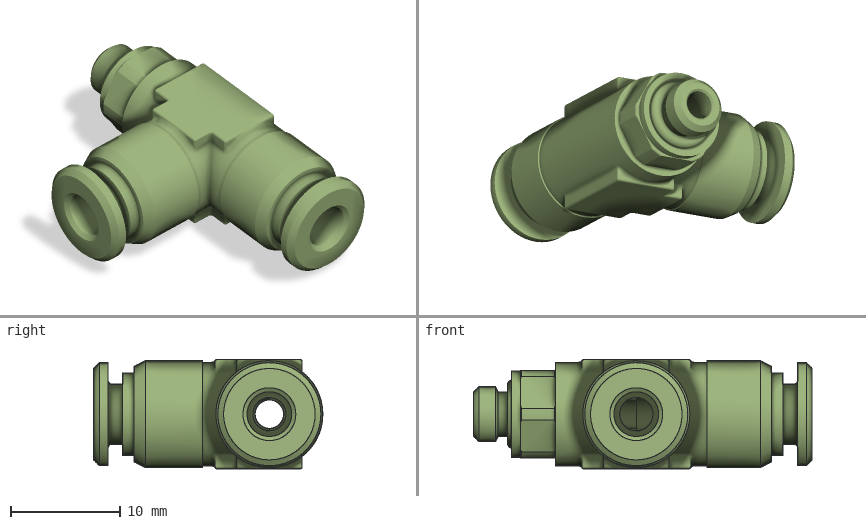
import cadquery as cq
import math

TOTAL_LENGTH = 31.0
PORT_REACH = 16.1
CENTER_X = TOTAL_LENGTH - PORT_REACH

BARREL_START = 7.5
BARREL_RADIUS = 4.75
COLLAR_RADIUS = 4.9
RUN_COLLAR_START = 6.48
BRANCH_COLLAR_START = 6.1
COLLAR_TAPER_START = 11.35
COLLAR_END = 12.37
COLLAR_END_RADIUS = 4.37
CROTCH_FILLET = 0.2

SLEEVE_RING_RADIUS = 3.78
SLEEVE_RING_END = 13.42
SLEEVE_NECK_RADIUS = 2.75
SLEEVE_FILLET = 0.3
SLEEVE_FLANGE_START = 14.75
SLEEVE_FLANGE_RADIUS = 4.7
SLEEVE_CHAMFER = 0.53

TUBE_RADIUS = 2.05
TUBE_CHAMFER = 0.37
TUBE_STOP = BRANCH_COLLAR_START
PASSAGE_RADIUS = 1.52
STEM_BORE_RADIUS = 1.3
STEM_BORE_CHAMFER = 0.2

THREAD_RADIUS = 2.5
THREAD_CHAMFER = 0.5
THREAD_END = 2.0
NECK_START = 2.25
NECK_RADIUS = 2.05
FLANGE_START = 3.47
FLANGE_RADIUS = 3.97
HEX_START = 4.3
HEX_FLATS = 8.0
HEX_CORNER_RADIUS = 4.35
HEX_EDGE_CHAMFER = 0.1

SEAL_SECTION_RADIUS = 0.55
SEAL_START = 3.1
SEAL_CENTER_X = SEAL_START + SEAL_SECTION_RADIUS
SEAL_MEAN_RADIUS = NECK_RADIUS + SEAL_SECTION_RADIUS
GLAND_RADIUS = SEAL_MEAN_RADIUS + SEAL_SECTION_RADIUS
GLAND_END = SEAL_CENTER_X + SEAL_SECTION_RADIUS
GLAND_CHAMFER = 0.28

PAD_HEIGHT = 10.0
PAD_REACH = 5.0
PAD_HALF_WIDTH = 3.0
PAD_ROUND = 0.22
PAD_BASE_FILLET = 0.37
PAD_BASE_LEVEL = 2.8
CLEARANCE = 0.03


def revolve_about_x(points):
    """Turn a closed (x, radius) profile about the X axis."""
    return cq.Workplane("XY").polyline(points).close().revolve(360, (0, 0, 0), (1, 0, 0))


def to_run(shape):
    """Move a shape built along +X from the origin onto the run port."""
    return shape.translate((CENTER_X, 0, 0))


def to_branch(shape):
    """Turn a shape built along +X from the origin onto the branch port."""
    return shape.rotate((0, 0, 0), (0, 0, 1), -90).translate((CENTER_X, 0, 0))


def cylinder_along_x(start, end, radius):
    return cq.Workplane("YZ", origin=(start, 0, 0)).circle(radius).extrude(end - start)


def make_tee_barrel():
    """Run and branch cylinders, rounded where they cross."""
    run = cylinder_along_x(BARREL_START, CENTER_X + RUN_COLLAR_START, BARREL_RADIUS)
    branch = to_branch(cylinder_along_x(0, BRANCH_COLLAR_START, BARREL_RADIUS))
    return run.union(branch).edges("%ELLIPSE").fillet(CROTCH_FILLET)


def make_port(collar_start):
    """Collar and release sleeve along +X, with the tee centre at the origin."""
    profile = (
        cq.Workplane("XY")
        .moveTo(collar_start, 0)
        .lineTo(collar_start, COLLAR_RADIUS)
        .lineTo(COLLAR_TAPER_START, COLLAR_RADIUS)
        .lineTo(COLLAR_END, COLLAR_END_RADIUS)
        .lineTo(COLLAR_END, SLEEVE_RING_RADIUS)
        .lineTo(SLEEVE_RING_END, SLEEVE_RING_RADIUS)
        .lineTo(SLEEVE_RING_END, SLEEVE_NECK_RADIUS)
        .lineTo(SLEEVE_FLANGE_START - SLEEVE_FILLET, SLEEVE_NECK_RADIUS)
        .radiusArc((SLEEVE_FLANGE_START, SLEEVE_NECK_RADIUS + SLEEVE_FILLET), -SLEEVE_FILLET)
        .lineTo(SLEEVE_FLANGE_START, SLEEVE_FLANGE_RADIUS)
        .lineTo(PORT_REACH - SLEEVE_CHAMFER, SLEEVE_FLANGE_RADIUS)
        .lineTo(PORT_REACH, SLEEVE_FLANGE_RADIUS - SLEEVE_CHAMFER)
        .lineTo(PORT_REACH, 0)
        .close()
    )
    return profile.revolve(360, (0, 0, 0), (1, 0, 0))


def make_port_bore():
    """Tube socket and passage along +X, with the tee centre at the origin."""
    return revolve_about_x([
        (0, 0),
        (0, PASSAGE_RADIUS),
        (TUBE_STOP, PASSAGE_RADIUS),
        (TUBE_STOP, TUBE_RADIUS),
        (PORT_REACH - TUBE_CHAMFER, TUBE_RADIUS),
        (PORT_REACH, TUBE_RADIUS + TUBE_CHAMFER),
        (PORT_REACH, 0),
    ])


def make_stem():
    """Thread, neck and seal flange."""
    return revolve_about_x([
        (0, 0),
        (0, THREAD_RADIUS - THREAD_CHAMFER),
        (THREAD_CHAMFER, THREAD_RADIUS),
        (THREAD_END, THREAD_RADIUS),
        (NECK_START, NECK_RADIUS),
        (FLANGE_START, NECK_RADIUS),
        (FLANGE_START, FLANGE_RADIUS),
        (HEX_START, FLANGE_RADIUS),
        (HEX_START, 0),
    ])


def make_hexagon():
    """Hexagon with flats facing up and down, its corners turned to a cylinder."""
    length = BARREL_START - HEX_START
    corner_circle = HEX_FLATS / math.cos(math.pi / 6)
    prism = cq.Workplane("YZ", origin=(HEX_START, 0, 0)).polygon(6, corner_circle).extrude(length)
    turned = cylinder_along_x(HEX_START, BARREL_START, HEX_CORNER_RADIUS).edges().chamfer(HEX_EDGE_CHAMFER)
    return prism.intersect(turned)


def make_gland():
    """Groove around the neck that the seal ring sits in."""
    return revolve_about_x([
        (FLANGE_START, NECK_RADIUS),
        (FLANGE_START, GLAND_RADIUS + GLAND_CHAMFER),
        (FLANGE_START + GLAND_CHAMFER, GLAND_RADIUS),
        (GLAND_END, GLAND_RADIUS),
        (GLAND_END, NECK_RADIUS),
    ])


def make_stem_bore():
    return revolve_about_x([
        (0, 0),
        (0, STEM_BORE_RADIUS + STEM_BORE_CHAMFER),
        (STEM_BORE_CHAMFER, STEM_BORE_RADIUS),
        (CENTER_X, STEM_BORE_RADIUS),
        (CENTER_X, 0),
    ])


def make_pads():
    """T-shaped block through the tee; its two ends stand out as the pads."""
    bar = cq.Workplane("XY").box(2 * PAD_REACH, 2 * PAD_HALF_WIDTH, PAD_HEIGHT)
    stem = cq.Workplane("XY").box(2 * PAD_HALF_WIDTH, PAD_REACH, PAD_HEIGHT).translate((0, -PAD_REACH / 2, 0))
    block = bar.union(stem).edges("|Z").fillet(PAD_ROUND)
    return block.faces("|Z").edges().fillet(PAD_ROUND).translate((CENTER_X, 0, 0))


def make_padded_tee():
    """Barrel with both pads, and the fillets where the pads meet the barrel."""
    tee = make_tee_barrel().union(make_pads())
    reach = PAD_REACH + CLEARANCE
    shoulder = PAD_HEIGHT / 2 - PAD_ROUND - CLEARANCE
    above = cq.selectors.BoxSelector(
        (CENTER_X - reach, -reach, PAD_BASE_LEVEL),
        (CENTER_X + reach, reach, shoulder),
    )
    below = cq.selectors.BoxSelector(
        (CENTER_X - reach, -reach, -shoulder),
        (CENTER_X + reach, reach, -PAD_BASE_LEVEL),
    )
    vertical = cq.selectors.ParallelDirSelector(cq.Vector(0, 0, 1))
    return tee.edges((above + below) - vertical).fillet(PAD_BASE_FILLET)


def make_fitting():
    body = make_padded_tee()
    body = body.union(to_run(make_port(RUN_COLLAR_START)))
    body = body.union(to_branch(make_port(BRANCH_COLLAR_START)))
    body = body.union(make_stem()).union(make_hexagon())
    body = body.cut(make_gland())
    body = body.cut(to_run(make_port_bore())).cut(to_branch(make_port_bore()))
    return body.cut(make_stem_bore())


def make_seal_ring():
    ring = cq.Solid.makeTorus(
        SEAL_MEAN_RADIUS,
        SEAL_SECTION_RADIUS,
        cq.Vector(SEAL_CENTER_X, 0, 0),
        cq.Vector(1, 0, 0),
    )
    return cq.Workplane("XY").newObject([ring])


fitting = make_fitting()
seal_ring = make_seal_ring()

result = cq.Compound.makeCompound([fitting.val(), seal_ring.val()])